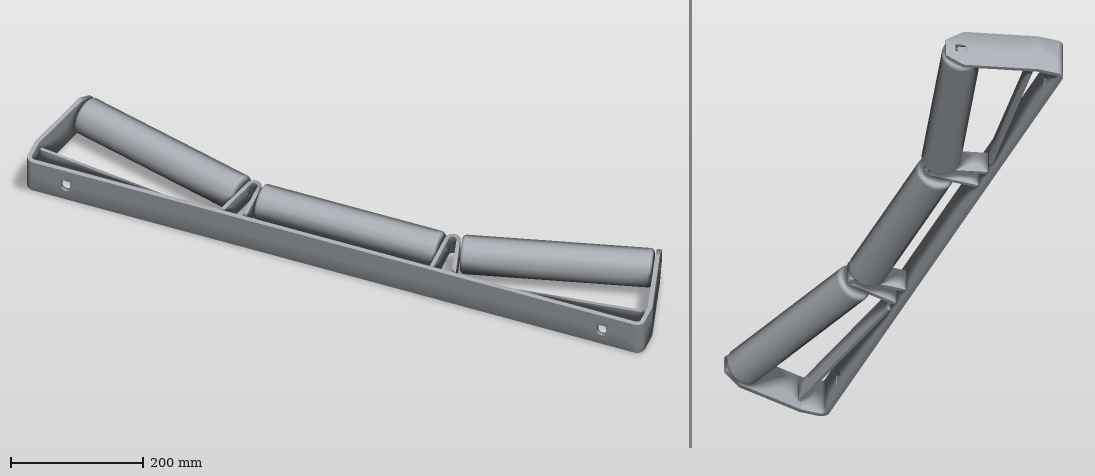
import cadquery as cq
import math

FRAME_LENGTH = 1000.0
BAR_HEIGHT = 60.0
FRAME_SHEET = 7.0
BRACKET_SHEET = 6.0
INNER_BEND = 6.0
TILT = 15.0
LEG_TOP = 180.0
TIP_CHAMFER_LENGTH = 27.0
TIP_CHAMFER_HEIGHT = 16.0

HOLE_X = 434.0
HOLE_WIDTH = 15.0
HOLE_BOTTOM = 18.0
HOLE_TOP = 39.0

CLEAR_SPAN = 298.0
END_GAP = 3.0
ROLLER_DIAMETER = 60.0
ROLLER_FILLET = 6.0
CENTRE_ROLLER_Y = 72.0
OUTER_AXIS_DROP = 11.0
SHAFT_DIAMETER = 15.0
SHAFT_FLATS = 9.0
SLOT_HEIGHT = 12.0
SLOT_LENGTH = 18.0

BRACKET_HEIGHT = 35.0
BRACKET_BEND_Y = 84.0
BRACE_THICKNESS = 5.0
BRACE_HEIGHT = 30.0
BRACE_FOOT_X = 213.0
BRACE_TOP_Y = 49.0

SIN = math.sin(math.radians(TILT))
COS = math.cos(math.radians(TILT))
TAN = SIN / COS
HALF = FRAME_LENGTH / 2
FRAME_BEND = INNER_BEND + FRAME_SHEET
BRACKET_BEND = INNER_BEND + BRACKET_SHEET
BRACKET_Z = (BAR_HEIGHT - BRACKET_HEIGHT) / 2
BRACE_Z = (BAR_HEIGHT - BRACE_HEIGHT) / 2
ROLLER_Z = (BAR_HEIGHT - SLOT_HEIGHT + SHAFT_FLATS) / 2
BEND_X = CLEAR_SPAN / 2 + BRACKET_BEND
LEG_DISTANCE = BRACKET_BEND + CLEAR_SPAN + FRAME_SHEET
SIDES = (-1, 1)


def tilted_point(along, across=0.0):
    """Point at a distance along the outer roller direction from the bracket bend centre."""
    return (BEND_X + along * COS - across * SIN, BRACKET_BEND_Y + along * SIN + across * COS)


def leg_x(y, distance=LEG_DISTANCE):
    """X at height y on the inclined plane that lies this far from the bracket bend centre."""
    x, y_ref = tilted_point(distance)
    return x - (y - y_ref) * TAN


def leg_y(x, distance=LEG_DISTANCE):
    """Y at position x on the same inclined plane."""
    x_ref, y = tilted_point(distance)
    return y - (x - x_ref) / TAN


def mirrored(points, side):
    """Points of the +X half, moved to the given side."""
    return [(side * x, y) for x, y in points]


def roller_places():
    """Locations of the three rollers: local X runs along the axis, local Y away from the bar."""
    places = [cq.Location(cq.Vector(0, CENTRE_ROLLER_Y, ROLLER_Z))]
    x, y = tilted_point(BRACKET_BEND + CLEAR_SPAN / 2, -OUTER_AXIS_DROP)
    for side in SIDES:
        places.append(cq.Location(cq.Vector(side * x, y, ROLLER_Z), cq.Vector(0, 0, 1), side * TILT))
    return places


def make_roller():
    length = CLEAR_SPAN - 2 * END_GAP
    shell = (
        cq.Workplane("YZ", origin=(-length / 2, 0, 0))
        .circle(ROLLER_DIAMETER / 2)
        .extrude(length)
        .edges()
        .fillet(ROLLER_FILLET)
    )
    shaft_length = CLEAR_SPAN + 2 * BRACKET_SHEET
    shaft = cq.Workplane("YZ").circle(SHAFT_DIAMETER / 2).extrude(shaft_length / 2, both=True)
    flats = cq.Workplane("XY").box(shaft_length, SHAFT_DIAMETER, SHAFT_FLATS)
    return shell.union(shaft.intersect(flats))


def make_shaft_slots():
    """Cutter for the slots at both ends of a roller; the shaft rests on their lower sides."""
    radius = SHAFT_DIAMETER / 2
    rise = SLOT_LENGTH - radius
    length = CLEAR_SPAN + 4 * FRAME_SHEET
    depth = 2 * SLOT_LENGTH
    round_end = cq.Workplane("YZ").circle(radius).extrude(length / 2, both=True)
    straight = cq.Workplane("XY").box(length, rise, SHAFT_DIAMETER).translate((0, rise / 2, 0))
    band_z = (SLOT_HEIGHT - SHAFT_FLATS) / 2
    band = cq.Workplane("XY").box(length, depth, SLOT_HEIGHT).translate((0, 0, band_z))
    between_sheets = cq.Workplane("XY").box(CLEAR_SPAN - END_GAP, depth, depth)
    return round_end.union(straight).intersect(band).cut(between_sheets)


def cut_slots(body, slots):
    for place in roller_places():
        body = body.cut(cq.Workplane(slots.val().moved(place)))
    return body


def mounting_hole(side):
    radius = HOLE_WIDTH / 2
    centre_z = HOLE_BOTTOM + radius
    x = side * HOLE_X
    return (
        cq.Workplane("XZ")
        .moveTo(x - radius, HOLE_TOP)
        .lineTo(x - radius, centre_z)
        .threePointArc((x, HOLE_BOTTOM), (x + radius, centre_z))
        .lineTo(x + radius, HOLE_TOP)
        .close()
        .extrude(-FRAME_SHEET)
    )


def tip_cutter(side):
    """Two wedges that bevel the upper and lower corners of a leg tip."""
    wedges = cq.Workplane("YZ")
    for corner_z, bevel_z in (
        (0, TIP_CHAMFER_HEIGHT),
        (BAR_HEIGHT, BAR_HEIGHT - TIP_CHAMFER_HEIGHT),
    ):
        wedges = wedges.polyline([(-TIP_CHAMFER_LENGTH, corner_z), (0, corner_z), (0, bevel_z)]).close()
    return (
        wedges.extrude(2 * FRAME_SHEET, both=True)
        .rotate((0, 0, 0), (0, 0, 1), side * TILT)
        .translate((side * leg_x(LEG_TOP), LEG_TOP, 0))
    )


def make_frame(slots):
    inner_leg = LEG_DISTANCE - FRAME_SHEET
    inner_x = HALF - FRAME_SHEET
    tip_x = leg_x(LEG_TOP)
    outer = [(HALF, 0), (HALF, leg_y(HALF)), (tip_x, LEG_TOP)]
    inner = [
        (tip_x - FRAME_SHEET * COS, LEG_TOP - FRAME_SHEET * SIN),
        (inner_x, leg_y(inner_x, inner_leg)),
        (inner_x, FRAME_SHEET),
    ]
    right = outer + inner
    outline = right + mirrored(right, -1)[::-1]
    frame = cq.Workplane("XY").polyline(outline).close().extrude(BAR_HEIGHT)
    for side in SIDES:
        for (x, y), radius in (
            (outer[0], FRAME_BEND),
            (outer[1], FRAME_BEND),
            (inner[1], INNER_BEND),
            (inner[2], INNER_BEND),
        ):
            corner = cq.selectors.NearestToPointSelector((side * x, y, BAR_HEIGHT / 2))
            frame = frame.edges("|Z").edges(corner).fillet(radius)
        frame = frame.cut(mounting_hole(side)).cut(tip_cutter(side))
    return cut_slots(frame, slots)


def make_bracket(side, slots):
    """Inverted U that carries the inner end of an outer roller and one end of the centre roller."""
    def on_bend(radius, angle):
        """Point on the bend, at an angle from the outward direction."""
        turn = math.radians(angle)
        return (side * (BEND_X + radius * math.cos(turn)), BRACKET_BEND_Y + radius * math.sin(turn))

    middle = (180 + TILT) / 2
    outer_foot = (side * leg_x(FRAME_SHEET, BRACKET_BEND), FRAME_SHEET)
    inner_foot = (side * leg_x(FRAME_SHEET, INNER_BEND), FRAME_SHEET)
    bracket = (
        cq.Workplane("XY", origin=(0, 0, BRACKET_Z))
        .moveTo(side * (BEND_X - BRACKET_BEND), FRAME_SHEET)
        .lineTo(*on_bend(BRACKET_BEND, 180))
        .threePointArc(on_bend(BRACKET_BEND, middle), on_bend(BRACKET_BEND, TILT))
        .lineTo(*outer_foot)
        .lineTo(*inner_foot)
        .lineTo(*on_bend(INNER_BEND, TILT))
        .threePointArc(on_bend(INNER_BEND, middle), on_bend(INNER_BEND, 180))
        .lineTo(side * (BEND_X - INNER_BEND), FRAME_SHEET)
        .close()
        .extrude(BRACKET_HEIGHT)
    )
    return cut_slots(bracket, slots)


def make_brace(side, frame):
    """Flat strip from the bar to the bend of the leg, at mid height."""
    top_x = HALF - FRAME_SHEET
    angle = math.atan2(BRACE_TOP_Y - BRACE_THICKNESS - FRAME_SHEET, top_x - BRACE_FOOT_X)
    shift = (-BRACE_THICKNESS * math.sin(angle), BRACE_THICKNESS * math.cos(angle))
    foot = (BRACE_FOOT_X, FRAME_SHEET)
    top = (top_x, BRACE_TOP_Y - BRACE_THICKNESS)
    outline = [foot, top, (top_x, BRACE_TOP_Y), (foot[0] + shift[0], foot[1] + shift[1])]
    return (
        cq.Workplane("XY", origin=(0, 0, BRACE_Z))
        .polyline(mirrored(outline, side))
        .close()
        .extrude(BRACE_HEIGHT)
        .cut(frame)
    )


shaft_slots = make_shaft_slots()
frame = make_frame(shaft_slots)
brackets = [make_bracket(side, shaft_slots) for side in SIDES]
braces = [make_brace(side, frame) for side in SIDES]
roller = make_roller()
rollers = [roller.val().moved(place) for place in roller_places()]

result = cq.Compound.makeCompound([
    frame.val(),
    *[bracket.val() for bracket in brackets],
    *[brace.val() for brace in braces],
    *rollers,
])